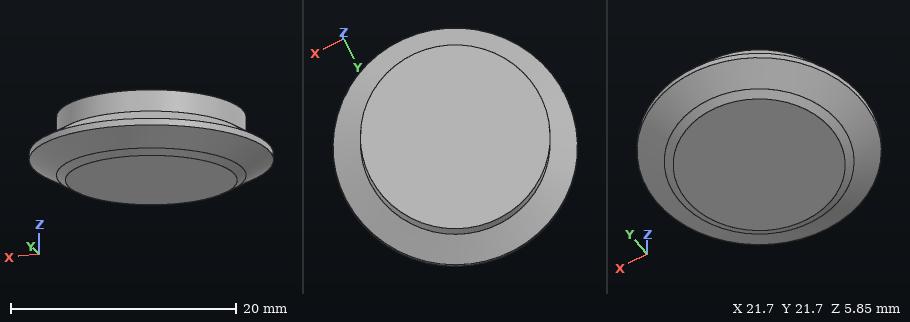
import cadquery as cq
import math

ring_diameter = 21.7
plug_diameter = 16.85
total_height = 5.85
ring_bottom = 0.45
rim_height = 0.6
flank_angle = 30.0

ring_radius = ring_diameter / 2
plug_radius = plug_diameter / 2
flank_slope = math.tan(math.radians(flank_angle))
flank_height = (ring_radius - plug_radius) * flank_slope
rim_bottom = ring_bottom + flank_height
rim_top = rim_bottom + rim_height
ring_top = rim_top + flank_height
plug_base_radius = plug_radius - ring_bottom / flank_slope


def revolve_profile(points):
    """Revolve a closed (radius, height) outline fully around the Z axis."""
    return cq.Workplane("XZ").polyline(points).close().revolve(360, (0, 0), (0, 1))


def make_plug():
    """Solid disc whose bottom edge continues the ring's lower cone."""
    return revolve_profile([
        (0, 0),
        (plug_base_radius, 0),
        (plug_radius, ring_bottom),
        (plug_radius, total_height),
        (0, total_height),
    ])


def make_ring():
    """Double-cone ring that fits closely around the plug."""
    return revolve_profile([
        (plug_radius, ring_bottom),
        (ring_radius, rim_bottom),
        (ring_radius, rim_top),
        (plug_radius, ring_top),
    ])


plug = make_plug()
ring = make_ring()

result = cq.Compound.makeCompound([plug.val(), ring.val()])